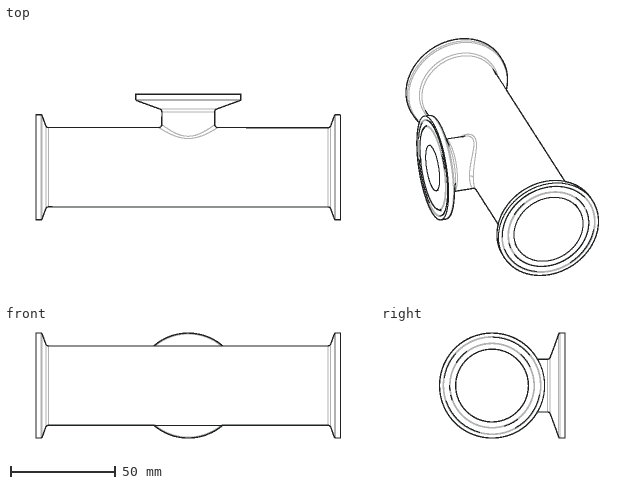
import cadquery as cq
import math

run_length = 146.0
branch_reach = 34.98
run_outer_d = 38.1
run_bore_d = 34.8
branch_outer_d = 25.4
branch_bore_d = 22.0

flange_d = 50.4
rim_thickness = 2.9
rim_round = 0.7
cone_angle = 20.0
neck_fillet = 1.3
groove_center_d = 43.5
groove_radius = 1.5
groove_depth = 1.3
groove_edge_round = 0.3

saddle_fillet = 1.5
edge_margin = 0.1


def cylinder(plane, diameter, length):
    return cq.Workplane(plane).circle(diameter / 2).extrude(length)


def ring_selector(height, radius):
    """Selects the circular edges about Y that lie at one height and fit within the radius."""
    return cq.selectors.BoxSelector(
        (-radius, height - edge_margin, -radius), (radius, height + edge_margin, radius), boundingbox=True
    )


def ferruled_arm(tube_d, length):
    """Solid tube growing from the origin along +Y, ending in a grooved clamp flange."""
    tube_r = tube_d / 2
    flange_r = flange_d / 2
    cone_length = (flange_r - tube_r) * math.tan(math.radians(cone_angle))
    rim_back = length - rim_thickness
    neck = rim_back - cone_length

    turn = math.radians(90 - cone_angle)
    tangent = neck_fillet * math.tan(turn / 2)
    arc_center_r = tube_r + neck_fillet
    arc_start = neck - tangent

    def arc_point(angle):
        return (arc_center_r - neck_fillet * math.cos(angle), arc_start + neck_fillet * math.sin(angle))

    arm = (
        cq.Workplane("XY")
        .moveTo(0, 0)
        .lineTo(tube_r, 0)
        .lineTo(tube_r, arc_start)
        .threePointArc(arc_point(turn / 2), arc_point(turn))
        .lineTo(flange_r, rim_back)
        .lineTo(flange_r, length)
        .lineTo(0, length)
        .close()
        .revolve(360, (0, 0, 0), (0, 1, 0))
    )
    groove = (
        cq.Workplane("XY")
        .center(groove_center_d / 2, length - groove_depth + groove_radius)
        .circle(groove_radius)
        .revolve(360, (-groove_center_d / 2, 0, 0), (-groove_center_d / 2, 1, 0))
    )
    groove_edges = ring_selector(length, groove_center_d / 2 + groove_radius + edge_margin)
    groove_edges -= ring_selector(length, tube_r)
    arm = arm.edges(ring_selector(rim_back, flange_r + edge_margin)).fillet(rim_round)
    return arm.cut(groove).edges("%CIRCLE").edges(groove_edges).fillet(groove_edge_round)


branch = ferruled_arm(branch_outer_d, branch_reach)
run_end = ferruled_arm(run_outer_d, run_length / 2)
run = run_end.rotate((0, 0, 0), (0, 0, 1), 90).union(run_end.rotate((0, 0, 0), (0, 0, 1), -90)).clean()

body = run.union(branch)
saddle_reach = run_outer_d / 2
saddle_edge = cq.selectors.BoxSelector(
    (-saddle_reach, edge_margin, -saddle_reach),
    (saddle_reach, saddle_reach + edge_margin, saddle_reach),
    boundingbox=True,
)
body = body.edges(saddle_edge).fillet(saddle_fillet)

run_bore = cylinder("YZ", run_bore_d, run_length).translate((-run_length / 2, 0, 0))
branch_bore = cylinder("XZ", branch_bore_d, -branch_reach)
result = body.cut(run_bore).cut(branch_bore)